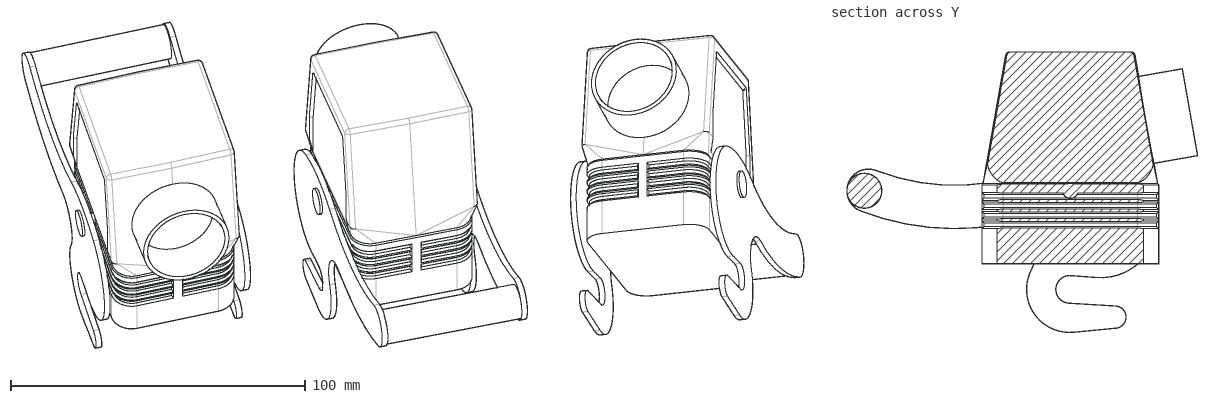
import cadquery as cq
import math


OVERALL_LENGTH = 119.2
OVERALL_WIDTH = 53.2

BASE_HALF_LENGTH = 30.0
BASE_WIDTH = 43.0
BASE_HALF_WIDTH = BASE_WIDTH / 2
BASE_CORNER_RADIUS = 7.2
BASE_BOTTOM = -24.8
BASE_TOP = 2.5
BASE_TOP_CHAMFER = 0.4
BASE_TOP_CHAMFER_HEIGHT = 0.6

GROOVE_COUNT = 4
GROOVE_PITCH = 3.2
GROOVE_DEPTH = 0.7
GROOVE_MOUTH = 2.6
GROOVE_BOTTOM_EDGE = -12.9
END_BAR_HALF_WIDTH = 1.5
END_BAR_FLARE = 0.5

HOOD_BOTTOM = 9.2
HOOD_TOP = 47.2
HOOD_HALF_WIDTH = 22.5
HOOD_END_TILT = 10.0
HOOD_END_PEAK = 0.4
HOOD_EDGE_RADIUS = 1.5

PANEL_DEPTH = HOOD_HALF_WIDTH - BASE_HALF_WIDTH
PANEL_TOP = 41.3
PANEL_KNEE = 19.0
PANEL_BOTTOM = 1.2
PANEL_TOP_HALF_LENGTH = 16.9
PANEL_BOTTOM_HALF_LENGTH = 21.0
PANEL_WALL_SLOPE = 45.0

TUBE_RADIUS = 15.0
TUBE_WALL = 1.4
TUBE_END_HEIGHT = 26.7
TUBE_BORE_DEPTH = 15.1
TUBE_ROOT_LENGTH = 4.8

LEVER_INNER_FACE = 23.7
LEVER_THICKNESS = 2.0
LEVER_OUTER_FACE = LEVER_INNER_FACE + LEVER_THICKNESS
HANDLE_END = (-68.6, 0.0)
HANDLE_END_RADIUS = 7.4
HANDLE_BEND_CENTRE = (-39.2, 75.5)
CAM_CENTRE = (10.4, -10.4)
CAM_RADIUS = 19.2
BACK_RADIUS = 45.9
HOOK_CENTRE = (-0.2, -33.5)
HOOK_OUTER_RADIUS = 14.7
HOOK_INNER_RADIUS = 4.7
HOOK_TIP_CENTRE = (15.1, -42.9)
HOOK_TIP_RADIUS = 3.8
THROAT_RADIUS = 10.3
BAR_RADIUS = 6.0
PIN_RADIUS = 2.6
PIN_HEAD_RADIUS = 4.5

SIGNS = (-1, 1)


def corner_points(half_length, half_width, radius, peak, sx, sy):
    """End, middle and side points of a corner arc in the quadrant given by the signs."""
    bulge = radius * (1 - math.sqrt(0.5))
    end_x = half_length + peak * radius / half_width
    return (
        (sx * end_x, sy * (half_width - radius)),
        (sx * (half_length - bulge), sy * (half_width - bulge)),
        (sx * (half_length - radius), sy * half_width),
    )


def rounded_section(half_length, half_width, radius, peak, z):
    """Closed wire at height z: a rectangle with rounded corners and peaked ends."""
    outline = cq.Workplane("XY", origin=(0, 0, z)).moveTo(half_length + peak, 0)
    for sx, sy, from_end in ((1, 1, True), (-1, 1, False), (-1, -1, True), (1, -1, False)):
        end_point, middle, side_point = corner_points(
            half_length, half_width, radius, peak, sx, sy
        )
        start, finish = (end_point, side_point) if from_end else (side_point, end_point)
        outline = outline.lineTo(*start).threePointArc(middle, finish)
        if not from_end and sx < 0:
            outline = outline.lineTo(-half_length - peak, 0)
    return outline.close().val()


def base_section(z, inset):
    return rounded_section(
        BASE_HALF_LENGTH - inset, BASE_HALF_WIDTH - inset, BASE_CORNER_RADIUS - inset, 0, z
    )


def make_base():
    profile = [(BASE_BOTTOM, 0)]
    for i in range(GROOVE_COUNT):
        low = GROOVE_BOTTOM_EDGE + i * GROOVE_PITCH
        high = low + GROOVE_MOUTH
        profile += [
            (low, 0),
            (low + GROOVE_DEPTH, GROOVE_DEPTH),
            (high - GROOVE_DEPTH, GROOVE_DEPTH),
            (high, 0),
        ]
    profile += [(BASE_TOP - BASE_TOP_CHAMFER_HEIGHT, 0), (BASE_TOP, BASE_TOP_CHAMFER)]
    base = cq.Workplane(cq.Solid.makeLoft([base_section(z, inset) for z, inset in profile], True))

    grooves_height = (GROOVE_COUNT - 1) * GROOVE_PITCH + GROOVE_MOUTH
    for sx in SIGNS:
        face_x = sx * BASE_HALF_LENGTH
        root_x = sx * (BASE_HALF_LENGTH - GROOVE_DEPTH)
        root_half_width = END_BAR_HALF_WIDTH + END_BAR_FLARE
        bar = (
            cq.Workplane("XY", origin=(0, 0, GROOVE_BOTTOM_EDGE))
            .polyline([
                (face_x, -END_BAR_HALF_WIDTH),
                (face_x, END_BAR_HALF_WIDTH),
                (root_x, root_half_width),
                (root_x, -root_half_width),
            ])
            .close()
            .extrude(grooves_height)
        )
        base = base.union(bar)
    return base


def hood_corner_half_length(z):
    """Half length of the hood at its corners; its centre line meets the base top edge."""
    ridge = BASE_HALF_LENGTH - BASE_TOP_CHAMFER
    return ridge - (z - BASE_TOP) * math.tan(math.radians(HOOD_END_TILT)) - HOOD_END_PEAK


def hood_section(z):
    return rounded_section(
        hood_corner_half_length(z), HOOD_HALF_WIDTH, HOOD_EDGE_RADIUS, HOOD_END_PEAK, z
    )


def polygon(*points):
    vectors = [cq.Vector(*point) for point in points]
    return cq.Face.makeFromWires(cq.Wire.makePolygon(vectors, close=True))


def arc_through(points):
    return cq.Edge.makeThreePointArc(*[cq.Vector(*point) for point in points])


def solid_from_faces(faces):
    return cq.Workplane(cq.Solid.makeSolid(cq.Shell.makeShell(faces)).fix())


def make_shoulder():
    """Faceted block that leads from the rounded base to the sharper hood."""
    low_length = BASE_HALF_LENGTH - BASE_TOP_CHAMFER
    low_width = BASE_HALF_WIDTH - BASE_TOP_CHAMFER
    low_radius = BASE_CORNER_RADIUS - BASE_TOP_CHAMFER
    high_length = hood_corner_half_length(HOOD_BOTTOM)

    faces = [
        cq.Face.makeFromWires(base_section(BASE_TOP, BASE_TOP_CHAMFER)),
        cq.Face.makeFromWires(hood_section(HOOD_BOTTOM)),
    ]
    for sx in SIGNS:
        ridge_low = (sx * low_length, 0, BASE_TOP)
        ridge_high = (sx * (high_length + HOOD_END_PEAK), 0, HOOD_BOTTOM)
        for sy in SIGNS:
            low_arc = [
                (x, y, BASE_TOP)
                for x, y in corner_points(low_length, low_width, low_radius, 0, sx, sy)
            ]
            high_arc = [
                (x, y, HOOD_BOTTOM)
                for x, y in corner_points(
                    high_length, HOOD_HALF_WIDTH, HOOD_EDGE_RADIUS, HOOD_END_PEAK, sx, sy
                )
            ]
            faces.append(polygon(ridge_low, low_arc[0], high_arc[0]))
            faces.append(polygon(ridge_low, high_arc[0], ridge_high))
            faces.append(cq.Face.makeRuledSurface(arc_through(low_arc), arc_through(high_arc)))
    low_side = low_length - low_radius
    high_side = high_length - HOOD_EDGE_RADIUS
    for sy in SIGNS:
        faces.append(polygon(
            (-low_side, sy * low_width, BASE_TOP),
            (low_side, sy * low_width, BASE_TOP),
            (high_side, sy * HOOD_HALF_WIDTH, HOOD_BOTTOM),
            (-high_side, sy * HOOD_HALF_WIDTH, HOOD_BOTTOM),
        ))
    return solid_from_faces(faces)


def make_hood():
    def sharp_outline(z):
        half_length = hood_corner_half_length(z)
        ridge = half_length + HOOD_END_PEAK
        half = [(ridge, 0), (half_length, HOOD_HALF_WIDTH), (-half_length, HOOD_HALF_WIDTH)]
        return [(x, y, z) for x, y in half] + [(-x, -y, z) for x, y in half]

    low = sharp_outline(HOOD_BOTTOM)
    high = sharp_outline(HOOD_TOP)
    faces = [polygon(*low), polygon(*high)]
    faces += [polygon(low[i - 1], low[i], high[i], high[i - 1]) for i in range(len(low))]
    hood = solid_from_faces(faces)

    ridges = cq.selectors.BoxSelector(
        (-OVERALL_LENGTH, -HOOD_EDGE_RADIUS, HOOD_BOTTOM),
        (OVERALL_LENGTH, HOOD_EDGE_RADIUS, HOOD_TOP - HOOD_EDGE_RADIUS),
    )
    rounded_edges = hood.edges("not <Z").edges(cq.selectors.InverseSelector(ridges))
    return rounded_edges.fillet(HOOD_EDGE_RADIUS)


def make_panel_cutter():
    """Pocket with sloping walls for the -Y side, widening from its floor outwards."""
    half_outline = [
        (PANEL_BOTTOM_HALF_LENGTH, PANEL_BOTTOM),
        (PANEL_BOTTOM_HALF_LENGTH, PANEL_KNEE),
        (PANEL_TOP_HALF_LENGTH, PANEL_TOP),
    ]
    mirrored = [(-x, z) for x, z in reversed(half_outline)]
    return (
        cq.Workplane("XZ", origin=(0, -BASE_HALF_WIDTH, 0))
        .polyline(half_outline + mirrored)
        .close()
        .extrude(PANEL_DEPTH, taper=-PANEL_WALL_SLOPE)
    )


def tube_plane():
    """Plane of the tube's open end, facing outwards along the tube."""
    tilt = math.radians(HOOD_END_TILT)
    part_end = HANDLE_END[0] - HANDLE_END_RADIUS + OVERALL_LENGTH
    end_centre = (part_end - TUBE_RADIUS * math.sin(tilt), 0, TUBE_END_HEIGHT)
    return cq.Plane(origin=end_centre, xDir=(0, 1, 0), normal=(math.cos(tilt), 0, math.sin(tilt)))


def make_tube():
    return cq.Workplane(tube_plane()).circle(TUBE_RADIUS).extrude(-TUBE_BORE_DEPTH - TUBE_ROOT_LENGTH)


def make_tube_bore():
    return cq.Workplane(tube_plane()).circle(TUBE_RADIUS - TUBE_WALL).extrude(-TUBE_BORE_DEPTH)


def circle_crossing(first, first_radius, second, second_radius):
    """Crossing of two circles that lies left of the direction first to second."""
    dx, dz = second[0] - first[0], second[1] - first[1]
    gap = math.hypot(dx, dz)
    along = (gap**2 + first_radius**2 - second_radius**2) / (2 * gap)
    aside = math.sqrt(first_radius**2 - along**2)
    return (
        first[0] + (along * dx - aside * dz) / gap,
        first[1] + (along * dz + aside * dx) / gap,
    )


def lever_circles():
    """Tangent circles followed anticlockwise; a negative radius is a hollow curve."""
    bend_mid_radius = math.dist(HANDLE_END, HANDLE_BEND_CENTRE)
    handle_under = bend_mid_radius + HANDLE_END_RADIUS
    handle_over = bend_mid_radius - HANDLE_END_RADIUS
    throat = circle_crossing(
        HOOK_CENTRE, HOOK_OUTER_RADIUS + THROAT_RADIUS,
        HANDLE_BEND_CENTRE, handle_under + THROAT_RADIUS,
    )
    back = circle_crossing(
        CAM_CENTRE, BACK_RADIUS - CAM_RADIUS,
        HANDLE_BEND_CENTRE, handle_over + BACK_RADIUS,
    )
    return [
        (HANDLE_END, HANDLE_END_RADIUS),
        (HANDLE_BEND_CENTRE, handle_under),
        (throat, -THROAT_RADIUS),
        (HOOK_CENTRE, HOOK_OUTER_RADIUS),
        (HOOK_TIP_CENTRE, HOOK_TIP_RADIUS),
        (HOOK_CENTRE, -HOOK_INNER_RADIUS),
        (CAM_CENTRE, CAM_RADIUS),
        (back, BACK_RADIUS),
        (HANDLE_BEND_CENTRE, -handle_over),
    ]


def heading_between(first, second):
    """Direction of travel along the common tangent from one circle to the next."""
    (c1, r1), (c2, r2) = first, second
    sine = (r2 - r1) / math.dist(c1, c2)
    return math.atan2(c2[1] - c1[1], c2[0] - c1[0]) - math.asin(max(-1, min(1, sine)))


def point_at(circle, heading):
    """Point of the circle where travel has the given heading."""
    (x, z), radius = circle
    return (x + radius * math.sin(heading), z - radius * math.cos(heading))


def make_lever_plate():
    """Plate on the -Y side."""
    smallest_line = 0.01
    circles = lever_circles()
    count = len(circles)
    headings = [heading_between(circles[i], circles[(i + 1) % count]) for i in range(count)]

    outline = cq.Workplane("XZ", origin=(0, -LEVER_INNER_FACE, 0))
    outline = outline.moveTo(*point_at(circles[0], headings[-1]))
    for i, circle in enumerate(circles):
        arriving, leaving = headings[i - 1], headings[i]
        turn = (leaving - arriving) % (2 * math.pi)
        if circle[1] < 0:
            turn -= 2 * math.pi
        outline = outline.threePointArc(
            point_at(circle, arriving + turn / 2), point_at(circle, leaving)
        )
        next_start = point_at(circles[(i + 1) % count], leaving)
        if math.dist(point_at(circle, leaving), next_start) > smallest_line:
            outline = outline.lineTo(*next_start)
    return outline.close().extrude(LEVER_THICKNESS)


def cross_cylinder(x, z, radius, half_length):
    """Cylinder along Y, centred on the part's mid-plane."""
    return cq.Workplane("XZ").center(x, z).circle(radius).extrude(half_length, both=True)


def make_lever():
    plate = make_lever_plate()
    bar_x = HANDLE_END[0] - HANDLE_END_RADIUS + BAR_RADIUS
    lever = plate.union(plate.mirror("XZ"))
    lever = lever.union(cross_cylinder(bar_x, HANDLE_END[1], BAR_RADIUS, LEVER_INNER_FACE))
    lever = lever.union(cross_cylinder(0, 0, PIN_RADIUS, LEVER_OUTER_FACE))
    heads = cross_cylinder(0, 0, PIN_HEAD_RADIUS, OVERALL_WIDTH / 2).cut(
        cross_cylinder(0, 0, PIN_HEAD_RADIUS, LEVER_OUTER_FACE)
    )
    return lever.union(heads)


panel_cutter = make_panel_cutter()

result = (
    make_base()
    .union(make_shoulder())
    .union(make_hood())
    .cut(panel_cutter)
    .cut(panel_cutter.mirror("XZ"))
    .union(make_tube())
    .cut(make_tube_bore())
    .union(make_lever())
)